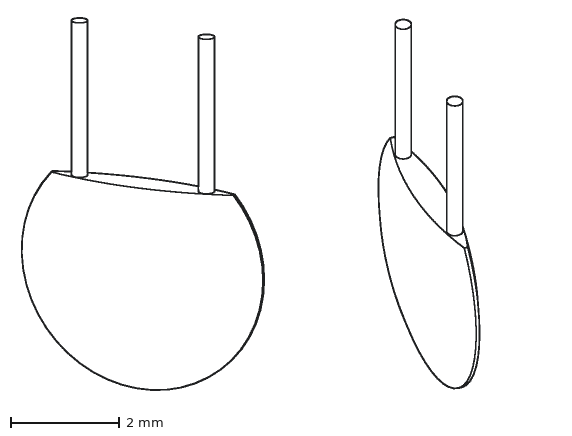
import cadquery as cq

disc_radius = 2.415
disc_thickness = 1.0
rim_thickness = 0.07
total_height = 7.0
body_height = 4.0
lead_diameter = 0.3
lead_spacing = 2.54

flat_z = body_height - disc_radius
lead_length = total_height - body_height
half_thickness = disc_thickness / 2
half_rim = rim_thickness / 2
sag = half_thickness - half_rim
face_radius = (disc_radius**2 + sag**2) / (2 * sag)

mid_radius = disc_radius / 2
mid_half_thickness = half_thickness - face_radius + (face_radius**2 - mid_radius**2) ** 0.5


def lens_body():
    """Double-convex disc about the Y axis, cut off flat at the top."""
    disc = (
        cq.Workplane("XY")
        .moveTo(0, -half_thickness)
        .threePointArc((mid_radius, -mid_half_thickness), (disc_radius, -half_rim))
        .lineTo(disc_radius, half_rim)
        .threePointArc((mid_radius, mid_half_thickness), (0, half_thickness))
        .close()
        .revolve(360, (0, 0, 0), (0, 1, 0))
    )
    kept_region = (
        cq.Workplane("XY")
        .workplane(offset=-disc_radius)
        .rect(2 * disc_radius, disc_thickness)
        .extrude(body_height)
    )
    return disc.intersect(kept_region)


def leads():
    """Two straight round leads standing on the flat."""
    return (
        cq.Workplane("XY")
        .workplane(offset=flat_z)
        .pushPoints([(-lead_spacing / 2, 0), (lead_spacing / 2, 0)])
        .circle(lead_diameter / 2)
        .extrude(lead_length)
    )


result = lens_body().union(leads())